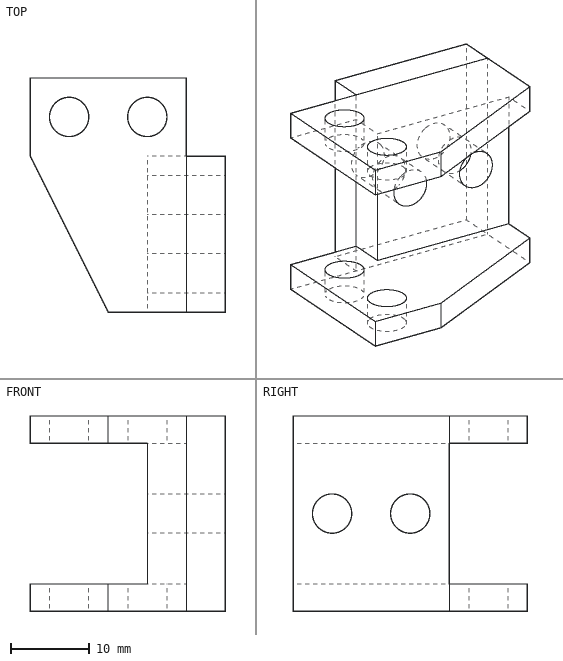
import cadquery as cq

length = 30.0
pitch_unit = length / 6
height = 5 * pitch_unit
arm_thickness = 3.5

wall_thickness = pitch_unit
hole_diameter = pitch_unit
hole_spacing = 2 * pitch_unit
edge_distance = pitch_unit
bracket_depth = 4 * pitch_unit
wall_length = 4 * pitch_unit
taper_width = 2 * pitch_unit
web_start = bracket_depth - wall_thickness
gap_height = height - 2 * arm_thickness


def wall_holes():
    """Two cutters along X through the web and the backing plate."""
    centers = [(edge_distance + i * hole_spacing, height / 2) for i in range(2)]
    return (
        cq.Workplane("YZ")
        .pushPoints(centers)
        .circle(hole_diameter / 2)
        .extrude(bracket_depth + wall_thickness)
    )


def arm_holes():
    """Two cutters along Z through both arms, near their free ends."""
    centers = [(edge_distance + i * hole_spacing, length - edge_distance) for i in range(2)]
    return cq.Workplane("XY").pushPoints(centers).circle(hole_diameter / 2).extrude(height)


def make_bracket():
    """C-shaped bracket: two tapered arms joined by a web."""
    arm_outline = [
        (taper_width, 0),
        (bracket_depth, 0),
        (bracket_depth, length),
        (0, length),
        (0, wall_length),
    ]
    arm = cq.Workplane("XY").polyline(arm_outline).close().extrude(arm_thickness)
    upper_arm = arm.translate((0, 0, height - arm_thickness))
    web = cq.Workplane("XY").box(wall_thickness, wall_length, gap_height, centered=False)
    web = web.translate((web_start, 0, arm_thickness))
    return arm.union(web).union(upper_arm).cut(arm_holes()).cut(wall_holes())


def make_backing_plate():
    """Flat plate against the outer face of the web, with matching holes."""
    plate = cq.Workplane("XY").box(wall_thickness, wall_length, height, centered=False)
    return plate.translate((bracket_depth, 0, 0)).cut(wall_holes())


bracket = make_bracket()
backing_plate = make_backing_plate()

result = cq.Compound.makeCompound([bracket.val(), backing_plate.val()])